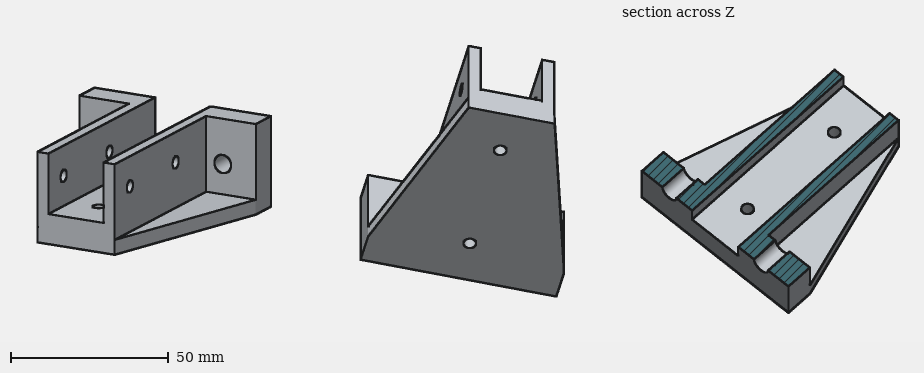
import cadquery as cq

width = 64.0
length = 70.0
height = 30.0

flange_thickness = 10.0
rail_width = 28.0
channel_width = 20.0
floor_thickness = 10.0
gusset_thickness = 5.0

flange_hole_diameter = 6.0
flange_hole_spacing = 40.0
flange_hole_height = height / 2
small_hole_diameter = 4.0
floor_hole_setbacks = (15.0, 55.0)
wall_hole_setbacks = (30.0, 60.0)
wall_hole_height = 20.0

flange_front = length - flange_thickness


def make_block(size_x, y_start, y_end, z_start, z_end):
    """Box centred on X = 0, spanning the given Y and Z ranges."""
    return (
        cq.Workplane("XY")
        .box(size_x, y_end - y_start, z_end - z_start, centered=(True, False, False))
        .translate((0, y_start, z_start))
    )


def make_gusset_plate():
    """Base plate tapering from the flange width to the rail width."""
    return (
        cq.Workplane("XY")
        .moveTo(-rail_width / 2, 0)
        .lineTo(rail_width / 2, 0)
        .lineTo(width / 2, flange_front)
        .lineTo(-width / 2, flange_front)
        .close()
        .extrude(gusset_thickness)
    )


def make_hole(diameter, depth, start, direction):
    """Cylinder used to cut a through hole."""
    return cq.Workplane(
        cq.Solid.makeCylinder(diameter / 2, depth, cq.Vector(*start), cq.Vector(*direction))
    )


flange = make_block(width, flange_front, length, 0, height)
rail = make_block(rail_width, 0, length, 0, height)
channel = make_block(channel_width, 0, length, floor_thickness, height)
result = rail.union(flange).union(make_gusset_plate()).cut(channel)

for side in (-1, 1):
    start = (side * flange_hole_spacing / 2, flange_front, flange_hole_height)
    result = result.cut(make_hole(flange_hole_diameter, flange_thickness, start, (0, 1, 0)))

for setback in floor_hole_setbacks:
    start = (0, length - setback, 0)
    result = result.cut(make_hole(small_hole_diameter, floor_thickness, start, (0, 0, 1)))

for setback in wall_hole_setbacks:
    start = (-rail_width / 2, length - setback, wall_hole_height)
    result = result.cut(make_hole(small_hole_diameter, rail_width, start, (1, 0, 0)))